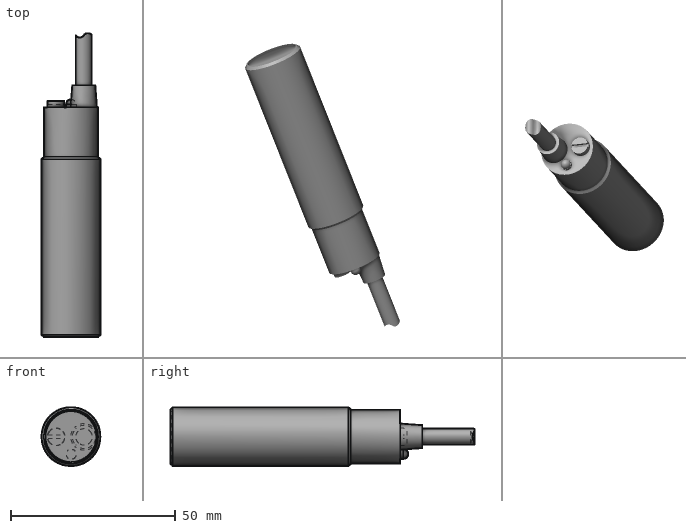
import cadquery as cq
import math

sleeve_dia = 18.0
neck_dia = 16.5
edge_chamfer = (sleeve_dia - neck_dia) / 2
sleeve_length = 55.0
neck_end = 70.0

face_dia = 15.5
face_recess = 0.2

cable_x = 3.9
cable_dia = 5.0
relief_base_dia = 8.1
relief_tip_dia = 7.1
relief_length = 6.8
cable_break_y = 92.0
break_arc_radius = 1.5

adjuster_x = -4.6
adjuster_base_dia = 5.4
adjuster_tip_dia = 5.2
adjuster_height = 2.0
slot_width = 1.0
slot_depth = 1.0

lamp_z = -5.3
lamp_collar_dia = 3.1
lamp_dome_dia = 3.0
lamp_collar_height = 1.0

root_depth = 0.5


def revolve_about_y(points, x=0.0, z=0.0):
    """Turn a (radius, y) outline about the line parallel to Y through (x, z)."""
    profile = cq.Workplane("XY").polyline(points).close()
    return profile.revolve(360, (0, 0, 0), (0, 1, 0)).translate((x, 0, z))


def make_barrel():
    sleeve_radius = sleeve_dia / 2
    neck_radius = neck_dia / 2
    face_radius = face_dia / 2
    return revolve_about_y([
        (0, face_recess),
        (face_radius, face_recess),
        (face_radius, 0),
        (neck_radius, 0),
        (sleeve_radius, edge_chamfer),
        (sleeve_radius, sleeve_length - edge_chamfer),
        (neck_radius, sleeve_length),
        (neck_radius, neck_end),
        (0, neck_end),
    ])


def make_tapered_stub(base_dia, tip_dia, height, x):
    """A cone frustum standing on the rear face of the neck, with a straight root."""
    return revolve_about_y([
        (0, neck_end - root_depth),
        (base_dia / 2, neck_end - root_depth),
        (base_dia / 2, neck_end),
        (tip_dia / 2, neck_end + height),
        (0, neck_end + height),
    ], x)


def make_cable():
    """Round cable whose end is cut to an S-shaped break: a hollow, then a crest."""
    radius = cable_dia / 2
    half_chord = radius / 2
    sagitta = break_arc_radius - math.sqrt(break_arc_radius**2 - half_chord**2)
    outline = (
        cq.Workplane("XY")
        .moveTo(-radius, neck_end)
        .lineTo(-radius, cable_break_y)
        .threePointArc((-half_chord, cable_break_y - sagitta), (0, cable_break_y))
        .threePointArc((half_chord, cable_break_y + sagitta), (radius, cable_break_y))
        .lineTo(radius, neck_end)
        .close()
        .extrude(radius, both=True)
    )
    crest_y = cable_break_y + sagitta
    cylinder = revolve_about_y([
        (0, neck_end),
        (radius, neck_end),
        (radius, crest_y),
        (0, crest_y),
    ])
    return cylinder.intersect(outline).translate((cable_x, 0, 0))


def make_adjuster():
    stub = make_tapered_stub(adjuster_base_dia, adjuster_tip_dia, adjuster_height, adjuster_x)
    slot_centre_y = neck_end + adjuster_height - slot_depth / 2
    slot = cq.Workplane("XY").box(adjuster_base_dia, slot_depth, slot_width)
    return stub.cut(slot.translate((adjuster_x, slot_centre_y, 0)))


def make_lamp():
    collar_top = neck_end + lamp_collar_height
    collar_radius = lamp_collar_dia / 2
    collar = revolve_about_y([
        (0, neck_end - root_depth),
        (collar_radius, neck_end - root_depth),
        (collar_radius, collar_top),
        (0, collar_top),
    ], z=lamp_z)
    dome = cq.Workplane("XY").sphere(lamp_dome_dia / 2).translate((0, collar_top, lamp_z))
    return collar.union(dome)


result = (
    make_barrel()
    .union(make_tapered_stub(relief_base_dia, relief_tip_dia, relief_length, cable_x))
    .union(make_cable())
    .union(make_adjuster())
    .union(make_lamp())
)